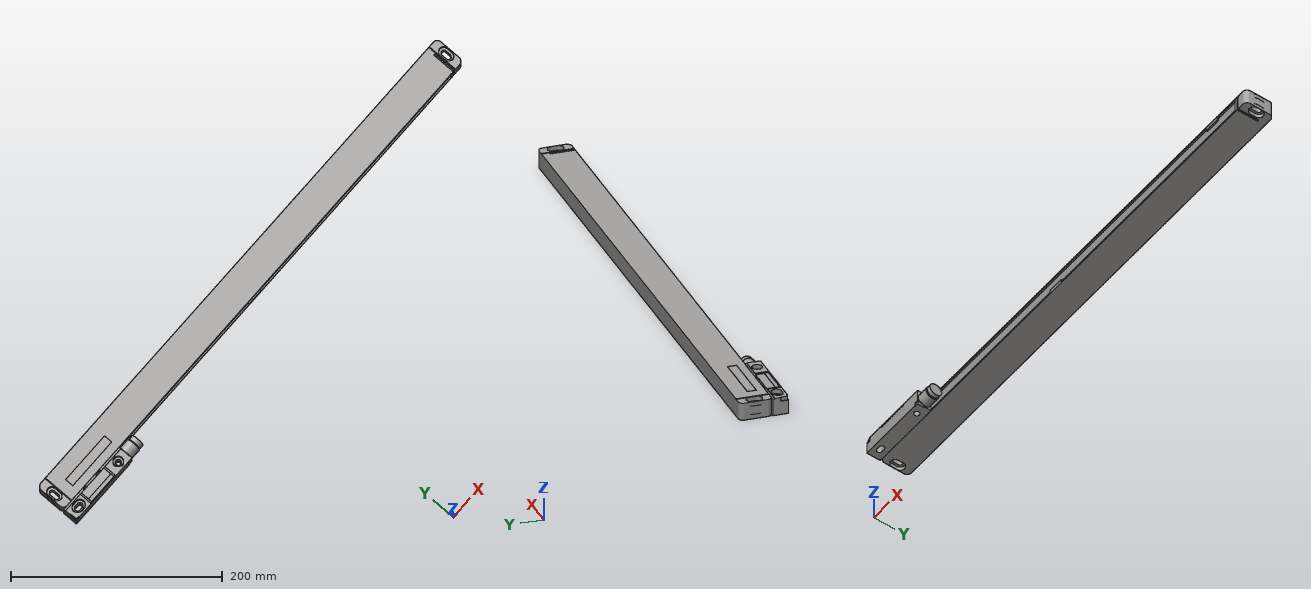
import cadquery as cq

length = 575.0
height = 18.0
head_width = 16.0
scale_width = 33.0
mid_height = height / 2
along_y = 90

scale_mid_y = head_width + scale_width / 2
corner_radius = 5.0
face_end_margin = 17.4
face_depth = 1.6
lip_height = 1.8
seam_width = 0.6
seam_depth = 0.4
cap_length = 11.5
mount_inset = 5.5
mount_slot_length = 11.0
mount_slot_width = 5.5
mount_recess_length = 16.0
mount_recess_width = 10.2
mount_recess_depth = 4.6
gasket_x = 561.0
gasket_width = 1.4
gasket_depth = 1.0
gasket_back_y = 40.5
label_x = 22.8
label_y = 24.5
label_length = 56.0
label_width = 9.0
label_depth = 0.3
pad_length = 17.4
pad_height = 4.6
lower_pad_x = 267.0
upper_pad_x = 512.2

head_length = 80.0
ledge_width = 2.2
ledge_drop = 0.5
ledge_notch_width = 1.2
ledge_notch_depth = 1.0
ledge_notches = [(27.0, 4.0), (45.5, 6.0)]
panel_mid_x = 39.0
panel_length = 35.5
panel_border = 1.7
panel_step = 0.3
panel_front_rim = 1.0
panel_rear_start = 5.0
bolt_y = 7.5
slot_bolt_x = 11.8
round_bolt_x = 68.8
bolt_diameter = 5.8
bolt_recess_diameter = 10.2
bolt_recess_depth = 4.6
bolt_slot_travel = 3.5
notch_length = 4.0
notch_height = 3.9
notch_end_width = 8.0
notch_depth = 0.8

gland_y = 8.4
gland_diameter = 15.0
gland_length = 12.0
gland_nut_diameter = 14.0
gland_nut_length = 5.0
gland_gap_length = 0.6
gland_gap_diameter = 12.0


def block(x, y, z, size_x, size_y, size_z):
    """Box given by its lowest corner and its sizes."""
    return cq.Workplane("XY").box(size_x, size_y, size_z, centered=False).translate((x, y, z))


def upright_slot(x, y, slot_length, slot_width, bottom, depth, angle=0):
    """Round-ended slot standing along Z."""
    return (cq.Workplane("XY", origin=(x, y, bottom))
            .slot2D(slot_length, slot_width, angle)
            .extrude(depth))


def upright_hole(x, y, diameter, bottom, depth):
    """Round cylinder standing along Z."""
    return cq.Workplane("XY", origin=(x, y, bottom)).circle(diameter / 2).extrude(depth)


def cut_front_face(body):
    """Sink the front face between the two lips, leaving two raised pads."""
    face_length = length - 2 * face_end_margin
    sunk = block(face_end_margin, head_width, lip_height,
                 face_length, face_depth, height - 2 * lip_height)
    lower_pad = block(lower_pad_x, head_width, 0, pad_length, face_depth, pad_height)
    upper_pad = block(upper_pad_x, head_width, height - pad_height, pad_length, face_depth, pad_height)
    return body.cut(sunk.cut(lower_pad).cut(upper_pad))


def cut_cap_mounting(body, x):
    """Mounting slot along Y, recessed from the top and the bottom."""
    body = body.cut(upright_slot(x, scale_mid_y, mount_slot_length, mount_slot_width, 0, height, along_y))
    for bottom in (0, height - mount_recess_depth):
        body = body.cut(upright_slot(x, scale_mid_y, mount_recess_length, mount_recess_width,
                                     bottom, mount_recess_depth, along_y))
    return body


def cut_gasket_groove(body):
    """Groove beside the right cap, across the front, top and bottom faces."""
    groove_length = gasket_back_y - head_width
    body = body.cut(block(gasket_x, head_width, 0, gasket_width, gasket_depth, height))
    for bottom in (0, height - gasket_depth):
        body = body.cut(block(gasket_x, head_width, bottom, gasket_width, groove_length, gasket_depth))
    return body


def make_scale():
    body = block(0, head_width, 0, length, scale_width, height).edges("|Z").fillet(corner_radius)
    body = cut_front_face(body)
    for seam_x in (cap_length - seam_width, length - cap_length):
        body = body.cut(block(seam_x, head_width, height - seam_depth, seam_width, scale_width, seam_depth))
    body = cut_gasket_groove(body)
    for mount_x in (mount_inset, length - mount_inset):
        body = cut_cap_mounting(body, mount_x)
    return body.cut(block(label_x, label_y, height - label_depth, label_length, label_width, label_depth))


def cut_head_top(body):
    """Rear ledge with two notches, and a stepped panel between the bolts."""
    ledge_y = head_width - ledge_width
    ledge_z = height - ledge_drop
    body = body.cut(block(0, ledge_y, ledge_z, head_length, ledge_width, ledge_drop))
    for notch_x, size in ledge_notches:
        notch_z = ledge_z - ledge_notch_depth
        body = body.cut(block(notch_x, ledge_y, notch_z, size, ledge_notch_width, ledge_notch_depth))

    panel_x = panel_mid_x - panel_length / 2
    panel_width = ledge_y - panel_front_rim
    inner_x = panel_x + panel_border
    inner_length = panel_length - 2 * panel_border
    body = body.cut(block(panel_x, panel_front_rim, height - panel_step,
                          panel_length, panel_width, panel_step))
    body = body.cut(block(inner_x, panel_front_rim, height - 2 * panel_step,
                          inner_length, panel_width, panel_step))
    return body.cut(block(inner_x, panel_rear_start, height - 3 * panel_step,
                          inner_length, ledge_y - panel_rear_start, panel_step))


def cut_head_bolts(body):
    """Slotted counterbored hole on the left and a round one on the right."""
    recess_z = height - bolt_recess_depth
    body = body.cut(upright_slot(slot_bolt_x, bolt_y, bolt_diameter + bolt_slot_travel, bolt_diameter,
                                 0, height))
    body = body.cut(upright_slot(slot_bolt_x, bolt_y, bolt_recess_diameter + bolt_slot_travel,
                                 bolt_recess_diameter, recess_z, bolt_recess_depth))
    body = body.cut(upright_hole(round_bolt_x, bolt_y, bolt_diameter, 0, height))
    return body.cut(upright_hole(round_bolt_x, bolt_y, bolt_recess_diameter, recess_z, bolt_recess_depth))


def cut_corner_notches(body):
    """Shallow notches around the top left and bottom right front corners."""
    corners = [
        (0, 0, height - notch_height),
        (head_length - notch_length, head_length - notch_depth, 0),
    ]
    for front_x, end_x, bottom in corners:
        body = body.cut(block(front_x, 0, bottom, notch_length, notch_depth, notch_height))
        body = body.cut(block(end_x, 0, bottom, notch_depth, notch_end_width, notch_height))
    return body


def make_gland():
    """Cable gland: barrel, narrow neck and end nut along X."""
    sections = [
        (gland_length, gland_diameter),
        (gland_gap_length, gland_gap_diameter),
        (gland_nut_length, gland_nut_diameter),
    ]
    start = head_length
    gland = cq.Workplane("YZ")
    for section_length, diameter in sections:
        section = (cq.Workplane("YZ", origin=(start, gland_y, mid_height))
                   .circle(diameter / 2)
                   .extrude(section_length))
        gland = gland.union(section)
        start += section_length
    return gland


def make_head():
    body = block(0, 0, 0, head_length, head_width, height)
    body = cut_head_top(body)
    body = cut_head_bolts(body)
    body = cut_corner_notches(body)
    return body.union(make_gland())


scale = make_scale()
reading_head = make_head()

result = cq.Compound.makeCompound([scale.val(), reading_head.val()])